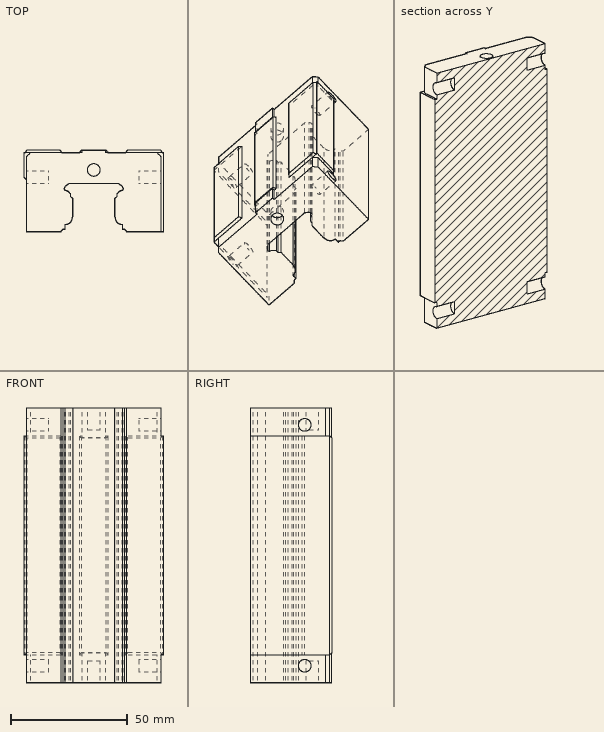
import cadquery as cq

length = 118.0
overall_width = 60.0
overall_depth = 35.2

end_length = 12.0
block_length = length - 2 * end_length
end_width = 57.8
back_y = 34.0
end_corner_chamfer = 1.8

band_edge_y = 22.3
side_step = (overall_width - end_width) / 2

opening_top_y = 20.6
opening_top_x = 10.6
corner_x = 12.2
corner_y = 19.6
undercut_x = 12.6
undercut_y = 18.5
undercut_low_x = 12.4
undercut_low_y = 17.9
shoulder_x = 9.9
shoulder_top_y = 16.2
shoulder_bottom_y = 15.1
lobe_x = 9.0
lobe_top_y = 14.3
lobe_bottom_y = 6.6
lobe_facet_x = 9.2
lobe_facet_y = 5.9
lip_x = 12.3
lip_top_y = 3.1
lip_bottom_y = 1.1
mouth_chamfer_x = 13.2
mouth_x = 14.2

shoulder_arc_mid = (10.9, 17.2)
lobe_arc_mid = (10.1, 3.9)

outer_pad_inner_x = 13.7
outer_pad_outer_x = 29.5
center_pad_half_width = 6.1
pad_side_bevel = 0.8
pad_end_bevel = 1.0
end_pad_half_width = 5.0
end_pad_y = 34.9

port_diameter = 5.4
port_depth = 9.4
end_port_y = 26.5
side_port_y = 23.4
side_port_inset = 7.3


def end_body():
    """Full-length body with chamfered back corners."""
    body = cq.Workplane("XY").rect(end_width, back_y).extrude(length)
    body = body.translate((0, back_y / 2, -length / 2))
    return body.edges("|Z and >Y").chamfer(end_corner_chamfer)


def middle_block():
    """Wider middle block: full depth on +X, a bevelled raised band on -X."""
    outline = [
        (overall_width / 2, 0),
        (overall_width / 2, back_y),
        (-overall_width / 2, back_y),
        (-overall_width / 2, band_edge_y + side_step),
        (-end_width / 2, band_edge_y),
        (-end_width / 2, 0),
    ]
    return cq.Workplane("XY").polyline(outline).close().extrude(block_length / 2, both=True)


def back_pad(x_min, x_max):
    """Pad on the back of the middle block, bevelled on its sides and ends."""
    height = overall_depth - back_y
    center_x = (x_min + x_max) / 2
    base_width = x_max - x_min
    return (
        cq.Workplane("XZ", origin=(center_x, back_y, 0))
        .rect(base_width, block_length)
        .workplane(offset=-height)
        .rect(base_width - 2 * pad_side_bevel, block_length - 2 * pad_end_bevel)
        .loft(ruled=True)
    )


def end_pad():
    """Narrow central rib along the back, carrying the pad into the end sections."""
    height = end_pad_y - back_y
    rib = cq.Workplane("XY").box(2 * end_pad_half_width, height, length)
    return rib.translate((0, back_y + height / 2, 0))


def opening_half():
    """+X half of the rail opening, running the whole length."""
    return (
        cq.Workplane("XY", origin=(0, 0, -length / 2))
        .moveTo(0, opening_top_y)
        .lineTo(opening_top_x, opening_top_y)
        .lineTo(corner_x, corner_y)
        .lineTo(undercut_x, undercut_y)
        .lineTo(undercut_low_x, undercut_low_y)
        .threePointArc(shoulder_arc_mid, (shoulder_x, shoulder_top_y))
        .lineTo(shoulder_x, shoulder_bottom_y)
        .lineTo(lobe_x, lobe_top_y)
        .lineTo(lobe_x, lobe_bottom_y)
        .lineTo(lobe_facet_x, lobe_facet_y)
        .threePointArc(lobe_arc_mid, (lip_x, lip_top_y))
        .lineTo(lip_x, lip_bottom_y)
        .lineTo(mouth_chamfer_x, lip_bottom_y)
        .lineTo(mouth_x, 0)
        .lineTo(0, 0)
        .close()
        .extrude(length)
    )


def port(x, y, z, direction):
    """Blind round port starting at a face point and running along a direction."""
    start = cq.Vector(x, y, z)
    return cq.Solid.makeCylinder(port_diameter / 2, port_depth, start, cq.Vector(*direction))


result = end_body().union(middle_block()).union(end_pad())
result = result.union(back_pad(-center_pad_half_width, center_pad_half_width))
result = result.union(back_pad(outer_pad_inner_x, outer_pad_outer_x))
result = result.union(back_pad(-outer_pad_outer_x, -outer_pad_inner_x))

opening = opening_half()
result = result.cut(opening).cut(opening.mirror("YZ"))

for end in (-1, 1):
    result = result.cut(port(0, end_port_y, end * length / 2, (0, 0, -end)))
    side_port_z = end * (length / 2 - side_port_inset)
    for side in (-1, 1):
        result = result.cut(port(side * end_width / 2, side_port_y, side_port_z, (-side, 0, 0)))